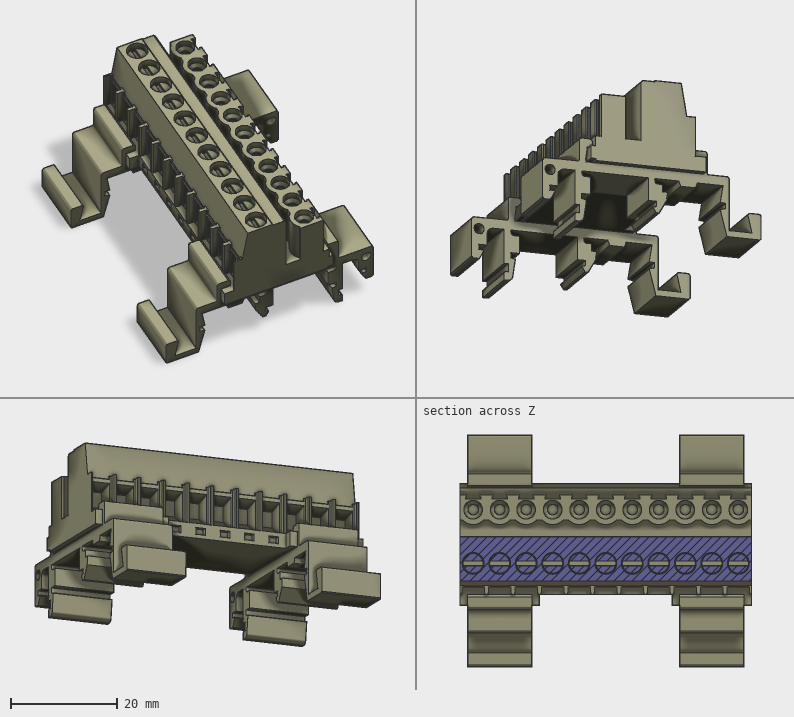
import cadquery as cq


length = 55.0
depth = 43.7
height = 28.8
pole_count = 11
pitch = length / pole_count
pole_xs = [(i - (pole_count - 1) / 2) * pitch for i in range(pole_count)]

foot_width = 12.1
foot_x = 4 * pitch
deck_top = 11.8
deck_bottom = 9.95
deck_front = 6.4
edge_round = 0.55
rear_leg_end = 3.7
rear_leg_bevel = 0.35
rear_leg_inside = 40.65
rear_leg_root_round = 1.3
rear_leg_slot_y = 42.3
front_leg_root_y = 7.65
front_leg_nose_y = 8.2
front_leg_slot_y = 7.15
heel_y = 6.9
leg_slot_top = 6.5
slot_bottom = 5.5
heel_bevel = 0.2
pad_front = 12.75
pad_rear = 16.5
pad_slant = 0.4
pad_bottom = 8.95
catch_shoulder_z = 8.9
catch_tip_z = 3.25
long_catch_rear = 37.25
long_catch_neck = 36.4
long_catch_front = 34.15
long_catch_slot_y = 35.9
toe_top = 1.65
toe_bevel = 0.3
toe_round = 1.0
short_catch_rear = 22.6
short_catch_slot_y = 20.95
short_catch_front = 19.75
short_catch_nose_z = 7.5
hook_top = 5.05
hook_floor = 1.2
hook_rear = 2.7
hook_lip_y = 2.65
hook_lip_z = 4.55
pivot_diameter = 2.0
pivot_y = 42.25
pivot_z = 9.55
front_clip_y = 10.8
front_clip_top = 16.35
rear_clip_y = 36.4
rear_clip_top = 16.45
clip_round = 0.45
front_root_round = 0.2
rear_root_round = 0.4
lip_bevel = 0.5

base_rear = 34.55
base_undercut_y = 33.55
base_undercut_top = 12.2
base_top = 16.7
flange_top = 14.75
front_face = 13.65
tab_front = 11.6
tab_length = 3 * pitch
rear_step = 33.7
tower_rear = 32.45
tower_front = 27.65
tower_top = 25.1
riser_rear = 24.6
riser_ledge = 21.8
riser_ledge_drop = 0.2
riser_bevel = 0.4
slope_top_y = 16.5
slope_bottom_y = 15.4
shoulder_z = 22.45

socket_y = 29.65
socket_diameter = 3.5
socket_core_diameter = 2.0
socket_bore_depth = 1.4
socket_cone_depth = 0.5
socket_core_depth = 2.5
scallop_radius = 2.8

groove_depth = 0.8
groove_neck_width = 2.55
groove_inner_width = 2.95
groove_inner_depth = 0.45

screw_y = 19.5
screw_bore_diameter = 4.0
screw_bore_depth = 2.2
screw_head_diameter = 3.8
screw_head_height = 0.8
screw_slot_width = 0.9
screw_slot_depth = 0.55

entry_ledge_z = 21.85
entry_back_y = 15.05
rib_width = 0.7
rib_nose_width = 0.35
rib_nose_length = 0.35
funnel_width = 3.7
funnel_top = 21.0
funnel_end_width = 2.8
funnel_end_bottom = 16.7
funnel_end_top = 19.8
funnel_depth = 2.75

window_count = 5
window_width = 1.9
window_bottom = 12.6
window_height = 1.3
window_depth = 1.1


def box(x_size, y_start, y_end, z_start, z_end):
    """Box centred on X between the given Y and Z limits."""
    block = cq.Workplane("XY").box(x_size, y_end - y_start, z_end - z_start, centered=(True, False, False))
    return block.translate((0, y_start, z_start))


def prism(outline, width):
    """Closed Y-Z outline extruded along X, centred on X = 0."""
    return outline.close().extrude(width / 2, both=True)


def start(y, z):
    return cq.Workplane("YZ").moveTo(y, z)


def repeat(shape, xs):
    """One compound with a copy of the shape at each X position."""
    return cq.Workplane(cq.Compound.makeCompound([shape.val().translate(cq.Vector(x, 0, 0)) for x in xs]))


def make_deck():
    """Flat deck with the front hook at one end and the pivot leg at the other."""
    outline = (
        start(deck_front, hook_floor)
        .lineTo(deck_front, deck_top - edge_round)
        .radiusArc((deck_front + edge_round, deck_top), edge_round)
        .lineTo(depth - edge_round, deck_top)
        .radiusArc((depth, deck_top - edge_round), edge_round)
        .lineTo(depth, rear_leg_end + rear_leg_bevel)
        .lineTo(depth - rear_leg_bevel, rear_leg_end)
        .lineTo(42.2, rear_leg_end)
        .lineTo(41.25, 5.2)
        .lineTo(41.45, slot_bottom)
        .lineTo(rear_leg_slot_y, slot_bottom)
        .lineTo(rear_leg_slot_y, leg_slot_top)
        .lineTo(rear_leg_inside, leg_slot_top)
        .lineTo(rear_leg_inside, deck_bottom - rear_leg_root_round)
        .radiusArc((rear_leg_inside - rear_leg_root_round, deck_bottom), -rear_leg_root_round)
        .lineTo(pad_rear, deck_bottom)
        .lineTo(pad_rear - pad_slant, pad_bottom)
        .lineTo(pad_front + pad_slant, pad_bottom)
        .lineTo(pad_front, deck_bottom)
        .lineTo(front_leg_root_y, deck_bottom)
        .lineTo(front_leg_nose_y, 6.6)
        .lineTo(front_leg_slot_y, leg_slot_top)
        .lineTo(front_leg_slot_y, slot_bottom)
        .lineTo(front_leg_nose_y, 5.15)
        .lineTo(heel_y, 0)
        .lineTo(heel_bevel, 0)
        .lineTo(0, heel_bevel)
        .lineTo(0, hook_top - edge_round)
        .radiusArc((edge_round, hook_top), edge_round)
        .lineTo(hook_rear - clip_round, hook_top)
        .radiusArc((hook_lip_y, hook_lip_z), clip_round)
        .lineTo(1.85, hook_floor)
    )
    pivot = cq.Workplane("YZ").center(pivot_y, pivot_z).circle(pivot_diameter / 2)
    return prism(outline, foot_width).cut(pivot.extrude(foot_width / 2, both=True))


def make_long_catch():
    """Longer rail catch hanging from the deck, near the rear."""
    outline = (
        start(long_catch_rear, deck_bottom)
        .lineTo(long_catch_rear, catch_tip_z)
        .lineTo(long_catch_neck, catch_tip_z)
        .lineTo(long_catch_neck, toe_top)
        .lineTo(long_catch_rear - toe_bevel, toe_top)
        .lineTo(long_catch_rear, toe_top - toe_bevel)
        .lineTo(long_catch_rear, 0)
        .lineTo(long_catch_neck, 0)
        .radiusArc((35.5, 0.9), toe_round)
        .lineTo(35.0, 4.3)
        .lineTo(long_catch_slot_y, 4.5)
        .lineTo(long_catch_slot_y, slot_bottom)
        .lineTo(long_catch_front, slot_bottom)
        .lineTo(long_catch_front, catch_shoulder_z)
        .lineTo(35.35, catch_shoulder_z)
        .threePointArc((35.85, 9.4), (35.75, deck_bottom))
    )
    return prism(outline, foot_width)


def make_short_catch():
    """Shorter rail catch hanging from the middle of the deck."""
    outline = (
        start(short_catch_rear, deck_bottom)
        .lineTo(short_catch_rear, slot_bottom)
        .lineTo(short_catch_slot_y, slot_bottom)
        .lineTo(short_catch_slot_y, 4.55)
        .lineTo(21.65, 4.25)
        .lineTo(21.05, catch_tip_z)
        .lineTo(20.4, catch_tip_z)
        .lineTo(18.9, 5.8)
        .lineTo(18.75, short_catch_nose_z)
        .lineTo(short_catch_front, short_catch_nose_z)
        .lineTo(short_catch_front, catch_shoulder_z)
        .lineTo(20.8, catch_shoulder_z)
        .threePointArc((21.3, 9.4), (21.2, deck_bottom))
    )
    return prism(outline, foot_width)


def make_clips():
    """Two upright clips that grip the front tab and the rear flange of the body."""
    front = (
        start(front_clip_y - front_root_round, deck_top)
        .radiusArc((front_clip_y, deck_top + front_root_round), -front_root_round)
        .lineTo(front_clip_y, front_clip_top - edge_round)
        .radiusArc((front_clip_y + edge_round, front_clip_top), edge_round)
        .lineTo(front_face - lip_bevel, front_clip_top)
        .lineTo(front_face, front_clip_top - lip_bevel)
        .lineTo(front_face, flange_top)
        .lineTo(tab_front, flange_top)
        .lineTo(tab_front, deck_top)
    )
    rear = (
        start(rear_clip_y + rear_root_round, deck_top)
        .radiusArc((rear_clip_y, deck_top + rear_root_round), rear_root_round)
        .lineTo(rear_clip_y, rear_clip_top - clip_round)
        .radiusArc((rear_clip_y - clip_round, rear_clip_top), -clip_round)
        .lineTo(rear_step + lip_bevel, rear_clip_top)
        .lineTo(rear_step, rear_clip_top - lip_bevel)
        .lineTo(rear_step, flange_top)
        .lineTo(34.8, flange_top)
        .lineTo(35.15, 12.25)
        .lineTo(35.0, deck_top)
    )
    return prism(front, foot_width).union(prism(rear, foot_width))


def make_foot():
    return make_deck().union(make_long_catch()).union(make_short_catch()).union(make_clips())


def make_blank():
    """Terminal body before the repeated pole details are cut."""
    ledge_z = height - riser_ledge_drop
    outline = (
        start(front_face, deck_top)
        .lineTo(front_face, shoulder_z)
        .lineTo(slope_bottom_y, shoulder_z)
        .lineTo(slope_top_y, height)
        .lineTo(riser_ledge, height)
        .lineTo(riser_ledge, ledge_z)
        .lineTo(riser_rear - riser_bevel, ledge_z)
        .lineTo(riser_rear, ledge_z - riser_bevel)
        .lineTo(riser_rear, base_top)
        .lineTo(tower_front, base_top)
        .lineTo(tower_front, tower_top)
        .lineTo(tower_rear, tower_top)
        .lineTo(tower_rear, base_top)
        .lineTo(rear_step, base_top)
        .lineTo(rear_step, flange_top)
        .lineTo(base_rear, flange_top)
        .lineTo(base_rear, base_undercut_top)
        .lineTo(base_undercut_y, base_undercut_top)
        .lineTo(base_undercut_y, deck_top)
    )
    tab = box(tab_length, tab_front, front_face, deck_top, flange_top)
    tab_x = (length - tab_length) / 2
    column = cq.Workplane("XY", origin=(0, socket_y, base_top)).circle(scallop_radius)
    columns = repeat(column.extrude(tower_top - base_top), pole_xs)
    columns = columns.intersect(box(length, tower_front - scallop_radius, socket_y, base_top, tower_top))
    blank = prism(outline, length).union(columns)
    return blank.union(tab.translate((tab_x, 0, 0))).union(tab.translate((-tab_x, 0, 0)))


def make_socket():
    """Stepped test socket, as a cutting shape."""
    core_radius = socket_core_diameter / 2
    bore_radius = socket_diameter / 2
    cone_bottom = tower_top - socket_bore_depth - socket_cone_depth
    cone = cq.Solid.makeCone(core_radius, bore_radius, socket_cone_depth, cq.Vector(0, socket_y, cone_bottom))
    rim = cq.Workplane("XY", origin=(0, socket_y, tower_top))
    bore = rim.circle(bore_radius).extrude(-socket_bore_depth)
    core = rim.circle(core_radius).extrude(-socket_core_depth)
    return bore.union(core).union(cq.Workplane(cone))


def make_groove():
    """T-shaped groove down the rear of the tower, as a cutting shape."""
    inner_y = tower_rear - groove_depth
    neck = box(groove_neck_width, inner_y, tower_rear, base_top, tower_top)
    inner = box(groove_inner_width, inner_y, inner_y + groove_inner_depth, base_top, tower_top)
    return neck.union(inner)


def make_screw_bore():
    """Bore with a slotted screw head standing on its floor, as a cutting shape."""
    floor_z = height - screw_bore_depth
    head_z = floor_z + screw_head_height
    floor = cq.Workplane("XY", origin=(0, screw_y, floor_z))
    bore = floor.circle(screw_bore_diameter / 2).extrude(screw_bore_depth)
    head = floor.circle(screw_head_diameter / 2).extrude(screw_head_height)
    half_slot = screw_slot_width / 2
    slot_z = head_z - screw_slot_depth
    slot = box(screw_bore_diameter, screw_y - half_slot, screw_y + half_slot, slot_z, head_z)
    return bore.cut(head.cut(slot))


def make_wire_entry():
    """Gap between two ribs with a tapered funnel behind it, as a cutting shape."""
    gap = pitch / 2 - rib_width / 2
    mouth = pitch / 2 - rib_nose_width / 2
    nose_y = front_face + rib_nose_length
    recess = (
        cq.Workplane("XY", origin=(0, 0, flange_top))
        .polyline([
            (-mouth, front_face), (mouth, front_face), (gap, nose_y), (gap, entry_back_y),
            (-gap, entry_back_y), (-gap, nose_y),
        ])
        .close()
        .extrude(shoulder_z - flange_top)
    )
    slope_run = (slope_top_y - slope_bottom_y) / (height - shoulder_z)
    ledge = prism(
        start(entry_back_y, entry_ledge_z)
        .lineTo(slope_bottom_y - slope_run * (shoulder_z - entry_ledge_z), entry_ledge_z)
        .lineTo(slope_bottom_y, shoulder_z)
        .lineTo(entry_back_y, shoulder_z),
        funnel_width,
    )
    mouth_centre = (flange_top + funnel_top) / 2
    end_centre = (funnel_end_bottom + funnel_end_top) / 2
    funnel = (
        cq.Workplane("XZ", origin=(0, entry_back_y, mouth_centre))
        .rect(funnel_width, funnel_top - flange_top)
        .workplane(offset=-funnel_depth)
        .center(0, end_centre - mouth_centre)
        .rect(funnel_end_width, funnel_end_top - funnel_end_bottom)
        .loft()
    )
    return recess.union(ledge).union(funnel)


def make_body():
    body = make_blank()
    for cutter in (make_socket(), make_groove(), make_screw_bore(), make_wire_entry()):
        body = body.cut(repeat(cutter, pole_xs))
    window = box(
        window_width, front_face, front_face + window_depth, window_bottom, window_bottom + window_height
    )
    first_window = (pole_count - window_count) // 2
    return body.cut(repeat(window, pole_xs[first_window:first_window + window_count]))


foot = make_foot()
result = make_body()
for side in (-1, 1):
    result = result.union(foot.translate((side * foot_x, 0, 0)))